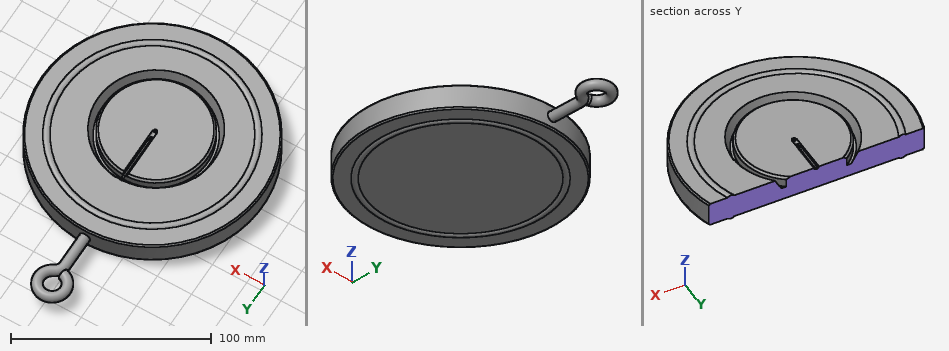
import cadquery as cq
import math

body_diameter = 129.0
body_thickness = 14.2
body_chamfer = 0.9
body_radius = body_diameter / 2
face_z = body_thickness / 2

overall_thickness = 15.7
seal_diameter = 5.0
seal_center_radius = 52.8
seal_z = overall_thickness / 2 - seal_diameter / 2

seat_offset_y = -3.6
seat_top_radius = 34.0
seat_floor_radius = 31.5
seat_depth = 6.5
flap_diameter = 60.0
flap_recess = 0.7
flap_chamfer = 1.2
seat_floor_z = face_z - seat_depth
flap_top_z = face_z - flap_recess

groove_width = 2.5
groove_end_y = -2.5
groove_tip_width = 1.5
pin_diameter = 1.1
pin_nose_diameter = 0.9
pin_end_y = 1.0
pin_nose_length = 2.4
pin_embedment = 1.7
pin_z = flap_top_z - 0.5

overall_length = 171
wire_diameter = 6.0
eye_outer_radius = 10.6
eye_top_y = overall_length - body_radius
eye_gap_start = -60
eye_gap_end = 257
shank_end_y = 83.6
shank_embedment = 3.5
wire_radius = wire_diameter / 2
eye_radius = eye_outer_radius - wire_radius
eye_center_y = eye_top_y - eye_outer_radius


def rod_along_y(diameter, start_y, end_y, z):
    """Round rod parallel to Y, in the plane X = 0."""
    start = cq.Vector(0, start_y, z)
    rod = cq.Solid.makeCylinder(diameter / 2, end_y - start_y, start, cq.Vector(0, 1, 0))
    return cq.Workplane(obj=rod)


def make_body():
    plate = cq.Workplane("XY").cylinder(body_thickness, body_radius)
    plate = plate.faces("|Z").edges().chamfer(body_chamfer)
    for z in (seal_z, -seal_z):
        seal = cq.Solid.makeTorus(seal_center_radius, seal_diameter / 2, cq.Vector(0, 0, z))
        plate = plate.union(cq.Workplane(obj=seal))
    return plate


def make_seat():
    seat = cq.Solid.makeCone(
        seat_floor_radius, seat_top_radius, seat_depth, cq.Vector(0, seat_offset_y, seat_floor_z)
    )
    return cq.Workplane(obj=seat)


def make_flap():
    flap = (
        cq.Workplane("XY", origin=(0, seat_offset_y, 0))
        .circle(flap_diameter / 2)
        .extrude(flap_top_z)
        .faces(">Z")
        .chamfer(flap_chamfer)
    )
    flap_edge_y = seat_offset_y + flap_diameter / 2
    groove = rod_along_y(groove_width, groove_end_y, flap_edge_y, flap_top_z)
    groove_tip = rod_along_y(groove_tip_width, seat_offset_y, groove_end_y, flap_top_z)
    return flap.cut(groove).cut(groove_tip)


def make_pin():
    seat_edge_y = seat_offset_y + seat_top_radius
    nose_base_y = pin_end_y + pin_nose_length
    pin = rod_along_y(pin_diameter, nose_base_y, seat_edge_y + pin_embedment, pin_z)
    nose = rod_along_y(pin_nose_diameter, pin_end_y, nose_base_y, pin_z)
    return pin.union(nose)


def make_eye_bolt():
    def on_eye(degrees):
        angle = math.radians(degrees)
        return (eye_radius * math.cos(angle), eye_center_y + eye_radius * math.sin(angle))

    def eye_tangent(degrees):
        angle = math.radians(degrees)
        return (-math.sin(angle), math.cos(angle))

    shank = rod_along_y(wire_diameter, body_radius - shank_embedment, shank_end_y, 0)

    neck_path = cq.Workplane("XY").moveTo(0, shank_end_y).spline(
        [on_eye(eye_gap_start)], tangents=[(0, 1), eye_tangent(eye_gap_start)], includeCurrent=True
    )
    neck = cq.Workplane("XZ", origin=(0, shank_end_y, 0)).circle(wire_radius).sweep(neck_path)

    eye_path = (
        cq.Workplane("XY")
        .moveTo(*on_eye(eye_gap_start))
        .threePointArc(on_eye((eye_gap_start + eye_gap_end) / 2), on_eye(eye_gap_end))
    )
    eye_start = cq.Plane(
        origin=(*on_eye(eye_gap_start), 0),
        xDir=(0, 0, 1),
        normal=(*eye_tangent(eye_gap_start), 0),
    )
    eye = cq.Workplane(eye_start).circle(wire_radius).sweep(eye_path)
    return shank.union(neck).union(eye)


result = (
    make_body()
    .cut(make_seat())
    .union(make_flap())
    .union(make_pin())
    .union(make_eye_bolt())
)